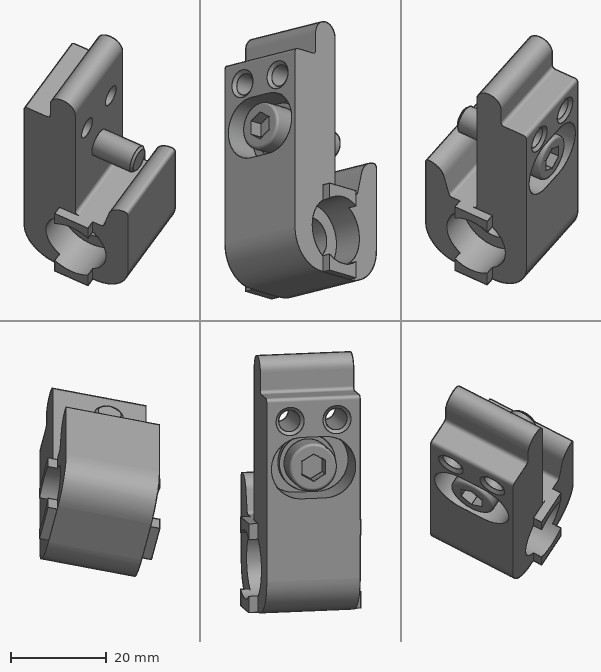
import cadquery as cq
import math

width = 25.0
height = 54.5
body_depth = 20.0
body_bottom_z = 0.1
bottom_radius = 7.9
back_x = 12.3
lip_thickness = 6.0
step_z = 46.9
small_radius = 0.8
notch_z = 18.9
hook_base_x = 19.1
hook_top_z = 26.8
hook_angle = 15.0
hook_radius = 3.8

bore_x = width / 2
bore_z = 9.55
bore_radius = 4.25
counterbore_radius = 7.25
counterbore_depth = 6.55
key_width = 8.0
key_span = 24.0

pin_z = 42.0
pin_spacing = 10.05
pin_radius = 2.3
pin_chamfer = 0.7

screw_z = 32.0
pocket_length = 18.05
pocket_height = 13.1
pocket_depth = 7.5
washer_radius = 6.0
washer_thickness = 1.6
head_radius = 5.0
head_height = pocket_depth - washer_thickness
head_round = 0.6
socket_flats = 5.0
socket_depth = 3.0
shank_radius = 3.0
shank_end_x = 21.95
shank_chamfer = 0.55


def yz_plane(x, z):
    """Workplane facing +X, centred on the mid-plane at the given height."""
    return cq.Workplane("YZ", origin=(x, 0, z))


def xz_plane(y):
    """Workplane facing -Y at the given Y."""
    return cq.Workplane("XZ", origin=(0, y, 0))


def round_corner(body, x, z, radius):
    """Round the edge running along Y through the given profile corner."""
    margin = 0.05
    corner_box = cq.selectors.BoxSelector(
        (x - margin, -body_depth, z - margin),
        (x + margin, body_depth, z + margin),
    )
    return body.edges(corner_box).fillet(radius)


def make_body():
    lip_x = back_x - lip_thickness
    lip_radius = lip_thickness / 2
    shoulder_z = height - lip_radius
    hook_top_x = hook_base_x + (hook_top_z - notch_z) * math.tan(math.radians(hook_angle))
    lower_corners = [
        (0, body_bottom_z, bottom_radius),
        (width, body_bottom_z, bottom_radius),
        (width, hook_top_z, small_radius),
        (hook_top_x, hook_top_z, hook_radius),
        (hook_base_x, notch_z, small_radius),
        (back_x, notch_z, small_radius),
    ]
    step_corners = [(lip_x, step_z, small_radius), (0, step_z, small_radius)]
    outline = xz_plane(body_depth / 2).polyline([(x, z) for x, z, _ in lower_corners])
    outline = outline.lineTo(back_x, shoulder_z)
    outline = outline.threePointArc((back_x - lip_radius, height), (lip_x, shoulder_z))
    for x, z, _ in step_corners:
        outline = outline.lineTo(x, z)
    body = outline.close().extrude(body_depth)
    for x, z, radius in lower_corners + step_corners:
        body = round_corner(body, x, z, radius)
    return body


def add_keys(body):
    key_depth = (key_span - body_depth) / 2
    for side in (-1, 1):
        key = cq.Workplane("XY").box(key_width, key_depth, notch_z, centered=(True, True, False))
        body = body.union(key.translate((bore_x, side * (body_depth + key_depth) / 2, 0)))
    return body


def cut_bore(body):
    bore = xz_plane(key_span / 2).center(bore_x, bore_z).circle(bore_radius).extrude(key_span)
    body = body.cut(bore)
    counterbore_length = counterbore_depth + (key_span - body_depth) / 2
    for start_y in (key_span / 2, counterbore_length - key_span / 2):
        counterbore = xz_plane(start_y).center(bore_x, bore_z).circle(counterbore_radius)
        body = body.cut(counterbore.extrude(counterbore_length))
    return body


def cut_pin_holes(body):
    for side in (-1, 1):
        plane = yz_plane(0, pin_z).center(side * pin_spacing / 2, 0)
        body = body.cut(plane.circle(pin_radius).extrude(back_x))
        mouth = plane.circle(pin_radius + pin_chamfer).workplane(offset=pin_chamfer)
        body = body.cut(mouth.circle(pin_radius).loft())
    return body


def cut_pocket(body):
    return body.cut(yz_plane(0, screw_z).slot2D(pocket_length, pocket_height).extrude(pocket_depth))


def make_screw():
    washer_x = pocket_depth - washer_thickness
    head_x = washer_x - head_height
    washer = yz_plane(washer_x, screw_z).circle(washer_radius).extrude(washer_thickness)
    head = yz_plane(head_x, screw_z).circle(head_radius).extrude(head_height)
    head = head.faces("<X").edges().fillet(head_round)
    shank = yz_plane(washer_x, screw_z).circle(shank_radius).extrude(shank_end_x - washer_x)
    shank = shank.faces(">X").edges().chamfer(shank_chamfer)
    socket_corners = socket_flats / math.cos(math.radians(30))
    socket = yz_plane(head_x, screw_z).transformed(rotate=(0, 0, 30))
    socket = socket.polygon(6, socket_corners).extrude(socket_depth)
    return head.cut(socket).union(washer).union(shank)


body = cut_bore(add_keys(make_body()))
body = cut_pocket(cut_pin_holes(body))
result = body.union(make_screw()).translate((-width / 2, 0, 0))